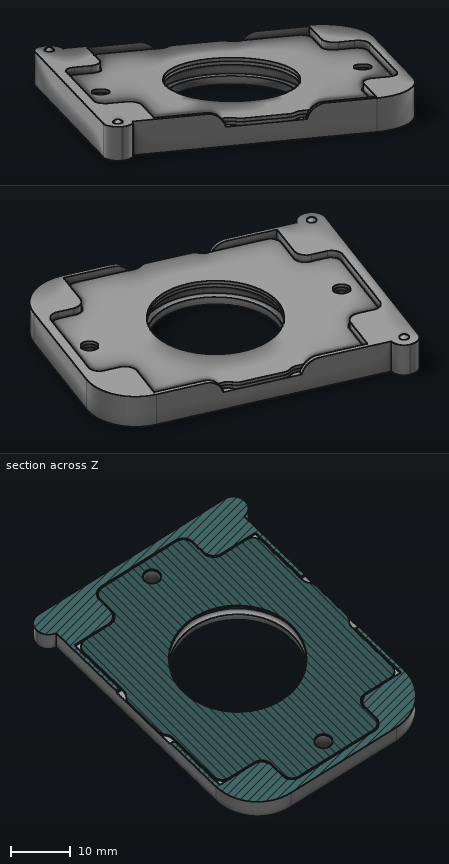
import cadquery as cq
import math

length = 56.45
frame_width = 40.3
frame_height = 6.0
end_corner_radius = 8.9

foot_width = 44.6
foot_depth = 5.1
foot_corner_radius = 2.5
foot_y = (foot_depth - length) / 2
bump_x = foot_width / 2 - foot_corner_radius
bump_radius = 1.0
bump_height = 0.45

centre_offset_y = 0.085

plate_count = 2
plate_thickness = 0.6
plate_width = 38.3
plate_length = 52.4
plate_shoulder_y = 19.2
plate_neck_width = 19.75
plate_corner_radius = 2.0

pocket_floor = 3.45
pocket_width = 38.65
pocket_length = 52.7
pocket_shoulder_y = 19.3
pocket_neck_width = 19.85
pocket_inner_radius = 2.25
pocket_outer_radius = plate_corner_radius

notch_floor_length = 14.1
notch_radius = 3.4
tab_middle_y = 5.25
tab_curve_radius = 2.0

window_diameter = 22.9
recess_diameter = 25.4
recess_floor = 1.45
screw_hole_diameter = 3.0
screw_hole_y = 22.8


def block(size_x, size_y, bottom, height):
    """Box centred on the Z axis, standing on the given level."""
    return cq.Workplane("XY").workplane(offset=bottom).box(size_x, size_y, height, centered=(True, True, False))


def round_corners(body, half_x, half_y, radius):
    """Fillet the four upright edges at (+-half_x, +-half_y)."""
    level = body.val().Center().z
    for x in (-half_x, half_x):
        for y in (-half_y, half_y):
            corner = cq.selectors.NearestToPointSelector((x, y, level))
            body = body.edges(corner).fillet(radius)
    return body


def stepped_cross(width, full_length, shoulder_y, neck_width, inner_radius, outer_radius, bottom, height):
    """Wide block with a narrower neck at each Y end; the neck's inner and outer corners are rounded."""
    cross = block(width, 2 * shoulder_y, bottom, height).union(block(neck_width, full_length, bottom, height))
    cross = round_corners(cross, neck_width / 2, shoulder_y, inner_radius)
    return round_corners(cross, neck_width / 2, full_length / 2, outer_radius)


def make_openings():
    """Cylinders of the window and the two screw holes, as tall as the frame."""
    window = cq.Workplane("XY").circle(window_diameter / 2).extrude(frame_height)
    screw_holes = (
        cq.Workplane("XY")
        .pushPoints([(0, -screw_hole_y), (0, screw_hole_y)])
        .circle(screw_hole_diameter / 2)
        .extrude(frame_height)
    )
    return window.union(screw_holes)


def make_notch():
    """Trough across the whole frame, its two sides rounding over into the top face."""
    floor_y = notch_floor_length / 2
    rise = frame_height - pocket_floor
    centre_z = frame_height - notch_radius
    centre_y = floor_y + math.sqrt(notch_radius**2 - (notch_radius - rise) ** 2)
    middle_angle = (math.pi / 2 + math.acos((centre_y - floor_y) / notch_radius)) / 2
    middle_y = centre_y - notch_radius * math.cos(middle_angle)
    middle_z = centre_z + notch_radius * math.sin(middle_angle)
    return (
        cq.Workplane("YZ")
        .moveTo(-floor_y, pocket_floor)
        .lineTo(floor_y, pocket_floor)
        .threePointArc((middle_y, middle_z), (centre_y, frame_height))
        .lineTo(-centre_y, frame_height)
        .threePointArc((-middle_y, middle_z), (-floor_y, pocket_floor))
        .close()
        .extrude(frame_width / 2, both=True)
    )


def make_outer_body():
    """Block with two rounded +Y corners, standing on the wider foot bar and carrying the bumps."""
    main_length = length - foot_depth / 2
    main = block(frame_width, main_length, 0, frame_height).translate((0, (length - main_length) / 2, 0))
    main = main.edges("|Z and >Y").fillet(end_corner_radius)
    foot = block(foot_width, foot_depth, 0, frame_height).edges("|Z").fillet(foot_corner_radius)
    bumps = (
        cq.Workplane("XY")
        .workplane(offset=frame_height + bump_height - bump_radius)
        .pushPoints([(-bump_x, foot_y), (bump_x, foot_y)])
        .sphere(bump_radius)
    )
    return main.union(foot.translate((0, foot_y, 0))).union(bumps)


def make_frame():
    """Housing with the pocket, side notches, recessed window and screw holes."""
    pocket = stepped_cross(
        pocket_width,
        pocket_length,
        pocket_shoulder_y,
        pocket_neck_width,
        pocket_inner_radius,
        pocket_outer_radius,
        pocket_floor,
        frame_height - pocket_floor,
    )
    recess = (
        cq.Workplane("XY")
        .workplane(offset=recess_floor)
        .circle(recess_diameter / 2)
        .extrude(pocket_floor - recess_floor)
    )
    hollows = pocket.union(make_notch()).union(recess).union(make_openings())
    return make_outer_body().cut(hollows.translate((0, centre_offset_y, 0)))


def make_tabs(bottom):
    """Bar across the plate whose ends reach the frame's sides through S-shaped flanks."""
    side_x = plate_width / 2
    tip_x = frame_width / 2
    half_step = (tip_x - side_x) / 2
    bend = math.acos(1 - half_step / tab_curve_radius)
    half_run = tab_curve_radius * math.sin(bend)
    arc_dx = tab_curve_radius * (1 - math.cos(bend / 2))
    arc_dy = tab_curve_radius * math.sin(bend / 2)
    root_y = tab_middle_y + half_run
    tip_y = tab_middle_y - half_run
    middle_x = side_x + half_step
    quarter = (
        cq.Workplane("XY")
        .workplane(offset=bottom)
        .lineTo(tip_x, 0)
        .lineTo(tip_x, tip_y)
        .threePointArc((tip_x - arc_dx, tip_y + arc_dy), (middle_x, tab_middle_y))
        .threePointArc((side_x + arc_dx, root_y - arc_dy), (side_x, root_y))
        .lineTo(0, root_y)
        .close()
        .extrude(plate_thickness)
    )
    half = quarter.union(quarter.mirror("XZ"))
    return half.union(half.mirror("YZ"))


def make_plate(index):
    """Flat plate number `index` of the stack, counted from the pocket floor."""
    bottom = pocket_floor + index * plate_thickness
    plate = stepped_cross(
        plate_width,
        plate_length,
        plate_shoulder_y,
        plate_neck_width,
        plate_corner_radius,
        plate_corner_radius,
        bottom,
        plate_thickness,
    )
    plate = round_corners(plate, plate_width / 2, plate_shoulder_y, plate_corner_radius)
    plate = plate.union(make_tabs(bottom)).cut(make_openings())
    return plate.translate((0, centre_offset_y, 0))


frame = make_frame()
plates = [make_plate(index) for index in range(plate_count)]

result = cq.Compound.makeCompound([frame.val(), *[plate.val() for plate in plates]])